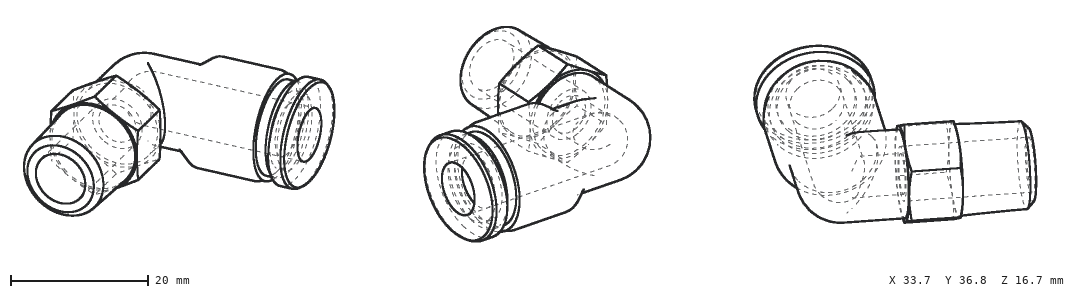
import cadquery as cq
import math


arm_diameter = 13.0
arm_radius = arm_diameter / 2
arm_bore_diameter = 6.0

sleeve_diameter = 16.7
sleeve_lip_diameter = 16.05
sleeve_step_diameter = 14.4
shoulder_start = 7.95
shoulder_end = 10.4
shoulder_fillet = 1.0
lip_taper_start = 19.95
lip_taper_end = 20.95
lip_end = 21.5
step_end = 23.08
tube_bore_diameter = 8.0

neck_diameter = 11.7
neck_length = 1.18
flange_height = 16.05
flange_width = 17.5
flange_length = 2.43
flange_chamfer_length = 0.48
flange_chamfer_depth = 0.33

hex_start = 9.05
hex_across_flats = 14.05
hex_length = 7.95
hex_corner_bevel = 0.35
thread_large_diameter = 13.45
thread_small_diameter = 12.85
thread_length = 10.0
thread_tip_diameter = 10.75
thread_tip_length = 1.03
stud_bore_diameter = 8.0


def x_cylinder(diameter, start, length):
    """Cylinder about the X axis."""
    return cq.Workplane("YZ", origin=(start, 0, 0)).circle(diameter / 2).extrude(length)


def y_cylinder(diameter, start, length):
    """Cylinder about the Y axis that runs toward -Y from a distance below the origin."""
    return cq.Workplane("XZ", origin=(0, -start, 0)).circle(diameter / 2).extrude(length)


def make_socket_arm():
    """The +X arm with its conical shoulder, sleeve, tapered lip and end step."""
    sleeve_radius = sleeve_diameter / 2
    lip_radius = sleeve_lip_diameter / 2
    step_radius = sleeve_step_diameter / 2
    arm = (
        cq.Workplane("XY")
        .polyline([
            (0, 0),
            (0, arm_radius),
            (shoulder_start, arm_radius),
            (shoulder_end, sleeve_radius),
            (lip_taper_start, sleeve_radius),
            (lip_taper_end, lip_radius),
            (lip_end, lip_radius),
            (lip_end, step_radius),
            (step_end, step_radius),
            (step_end, 0),
        ])
        .close()
        .revolve(360, (0, 0, 0), (1, 0, 0))
    )
    margin = 0.05
    shoulder_edges = cq.selectors.BoxSelector(
        (shoulder_start - margin, -sleeve_diameter, -sleeve_diameter),
        (shoulder_end + margin, sleeve_diameter, sleeve_diameter),
        boundingbox=True,
    )
    return arm.edges(shoulder_edges).edges("%CIRCLE").fillet(shoulder_fillet)


def make_elbow_passage():
    """The -Y bore and the wider +X bore, whose ball end is tangent to the -Y bore's outer side."""
    tube_bore_radius = tube_bore_diameter / 2
    ball_center = tube_bore_radius - arm_bore_diameter / 2
    tube_bore = x_cylinder(tube_bore_diameter, ball_center, step_end - ball_center)
    ball_end = cq.Workplane("XY").sphere(tube_bore_radius).translate((ball_center, 0, 0))
    return y_cylinder(arm_bore_diameter, 0, hex_start).union(tube_bore).union(ball_end)


def make_elbow():
    corner = cq.Workplane("XY").sphere(arm_radius)
    stud_arm = y_cylinder(arm_diameter, 0, hex_start)
    return make_socket_arm().union(stud_arm).union(corner).cut(make_elbow_passage())


def make_release_ring():
    flange_start = step_end + neck_length
    flange_end = flange_start + flange_length
    chamfer_start = flange_end - flange_chamfer_length
    half_width = flange_width / 2
    half_height = flange_height / 2
    plate = (
        cq.Workplane("YZ", origin=(flange_start, 0, 0))
        .ellipse(half_width, half_height)
        .extrude(flange_length - flange_chamfer_length)
    )
    bevel = (
        cq.Workplane("YZ", origin=(chamfer_start, 0, 0))
        .ellipse(half_width, half_height)
        .workplane(offset=flange_chamfer_length)
        .ellipse(half_width - flange_chamfer_depth, half_height - flange_chamfer_depth)
        .loft(ruled=True)
    )
    neck = x_cylinder(neck_diameter, step_end, neck_length)
    bore = x_cylinder(tube_bore_diameter, step_end, neck_length + flange_length)
    return neck.union(plate).union(bevel).cut(bore)


def make_hexagon():
    """Hexagon with flats facing +X and -X, its corners beveled at both ends."""
    corner_radius = hex_across_flats / 2 / math.cos(math.pi / 6)
    flat_radius = hex_across_flats / 2
    prism = (
        cq.Workplane("XZ", origin=(0, -hex_start, 0))
        .transformed(rotate=(0, 0, 90))
        .polygon(6, 2 * corner_radius)
        .extrude(hex_length)
    )
    hex_end = hex_start + hex_length
    bevel_envelope = (
        cq.Workplane("XY")
        .polyline([
            (0, -hex_start),
            (flat_radius, -hex_start),
            (corner_radius, -hex_start - hex_corner_bevel),
            (corner_radius, -hex_end + hex_corner_bevel),
            (flat_radius, -hex_end),
            (0, -hex_end),
        ])
        .close()
        .revolve(360, (0, 0, 0), (0, 1, 0))
    )
    return prism.intersect(bevel_envelope)


def make_thread():
    """Tapered thread envelope with a beveled tip."""
    thread_start = hex_start + hex_length
    tip_start = thread_start + thread_length
    stud_end = tip_start + thread_tip_length
    return (
        cq.Workplane("XY")
        .polyline([
            (0, -thread_start),
            (thread_large_diameter / 2, -thread_start),
            (thread_small_diameter / 2, -tip_start),
            (thread_tip_diameter / 2, -stud_end),
            (0, -stud_end),
        ])
        .close()
        .revolve(360, (0, 0, 0), (0, 1, 0))
    )


def make_stud():
    stud_length = hex_length + thread_length + thread_tip_length
    bore = y_cylinder(stud_bore_diameter, hex_start, stud_length)
    return make_hexagon().union(make_thread()).cut(bore)


elbow = make_elbow()
release_ring = make_release_ring()
stud = make_stud()

result = cq.Compound.makeCompound([elbow.val(), release_ring.val(), stud.val()])